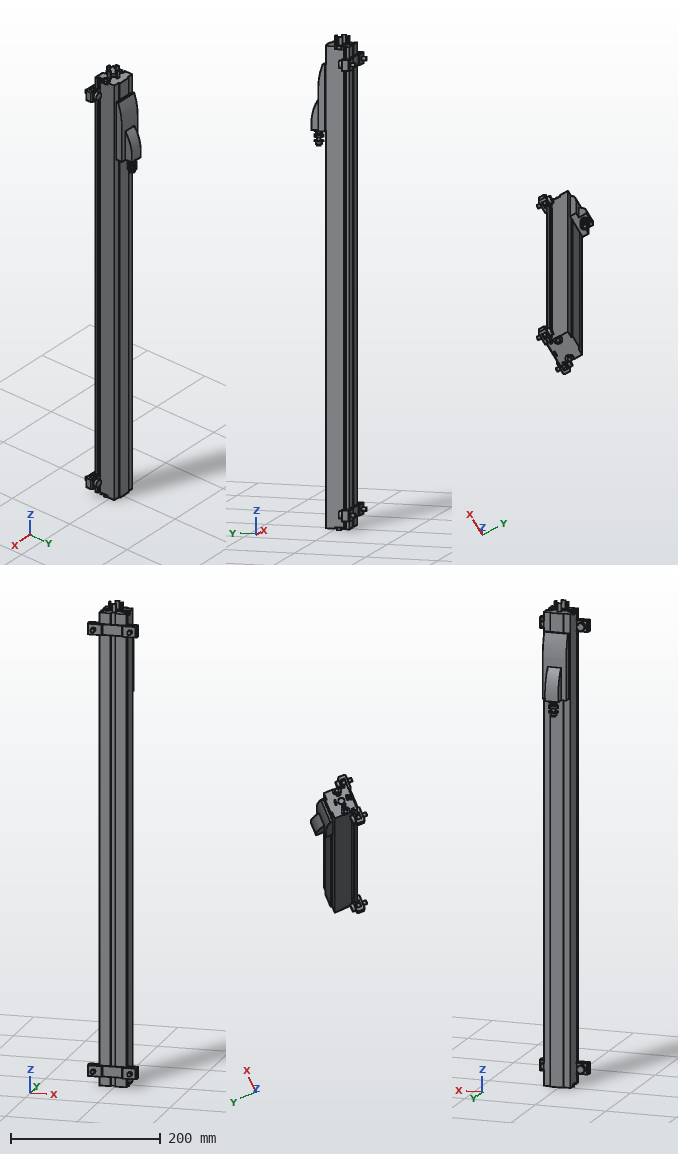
import cadquery as cq

TOTAL_LENGTH = 668.5
TOTAL_DEPTH = 66.0
FRONT_Y = -TOTAL_DEPTH / 2
BACK_Y = TOTAL_DEPTH / 2

RAIL_BOTTOM = 2.0
RAIL_TOP = 657.0
RAIL_HALF_WIDTH = 19.0
RAIL_FRONT_Y = -23.0
RAIL_BACK_Y = 10.0
RIDGE_BACK_Y = 12.0
RIDGE_HALF_WIDTH = 9.5
SIDE_GROOVE_BACK_Y = -15.0
SIDE_GROOVE_FLANK_Y = -16.0
SIDE_GROOVE_FRONT_Y = -19.0
SIDE_GROOVE_HALF_WIDTH = 15.5
FRONT_GROOVE_HALF_WIDTH = 3.5
FRONT_GROOVE_DEPTH = 3.5

PLUG_Y = -7.5
END_SCREW_X = 15.5
END_SCREW_DIAMETER = 5.5
SCREW_RECESS_DIAMETER = 11.5
TOP_RECESS_DEPTH = 4.0
BOTTOM_RECESS_DEPTH = 2.0
SOCKET_DIAMETER = 9.0
SOCKET_DEPTH = 4.0
TAB_OUTER_RADIUS = 9.5
TAB_THICKNESS = 1.7
TAB_WIDTH = 5.5
TAB_COUNT = 4

CLAMP_CENTRE_HEIGHTS = (23.0, 634.5)
CLAMP_HEIGHT = 15.0
CLAMP_HALF_WIDTH = 34.0
CLAMP_BACK_Y = SIDE_GROOVE_FLANK_Y
CLAMP_FOOT_Y = -27.5
CLAMP_CHAMFER = 1.7
STRAP_FRONT_Y = -25.5
STRAP_HALF_WIDTH = 13.5
STRAP_SLOPE_WIDTH = 1.7
CAVITY_OUTER_X = 29.5
CAVITY_FRONT_Y = -24.0
CAVITY_INNER_X = 21.0
CLAMP_SCREW_X = 25.5
CLAMP_SCREW_DIAMETER = 5.5
CLAMP_HEAD_DIAMETER = 11.0
CLAMP_HEAD_BACK_Y = -11.5

MARKER_BOTTOM = 540.0
BASE_HALF_WIDTH = 17.0
BASE_BACK_Y = 21.5
BASE_TIP_Y = 15.5
BASE_BEND_HEIGHT = 598.0
BASE_TIP_HEIGHT = 631.0
HUMP_HALF_WIDTH = 9.5
HUMP_BEND_HEIGHT = 549.5
HUMP_TIP_HEIGHT = 585.0

STUD_Y = 25.5
STUD_ROD_RADIUS = 5.0 / 2
STUD_DISC_RADIUS = 13.0 / 2
STUD_HUB_RADIUS = 9.0 / 2
STUD_TIP_RADIUS = 5.5 / 2
FLANGE_BOTTOM = 538.0
COLLAR_TOP = 535.0
COLLAR_SHOULDER = 533.0
COLLAR_BOTTOM = 530.0
DISC_TOP = 525.0
DISC_BOTTOM = 524.0
HUB_BOTTOM = 520.0
STUD_BOTTOM = 518.0


def box(x_range, y_range, z_range):
    """A box between the given limits."""
    (x0, x1), (y0, y1), (z0, z1) = x_range, y_range, z_range
    return cq.Workplane("XY", origin=(x0, y0, z0)).box(x1 - x0, y1 - y0, z1 - z0, centered=False)


def upright_cylinder(x, y, diameter, bottom, top):
    """A cylinder along Z between the given heights."""
    return cq.Workplane("XY", origin=(x, y, bottom)).circle(diameter / 2).extrude(top - bottom)


def make_profile():
    """Extruded rail: back ridge, a groove with one sloping flank in each side, and a groove down the front."""
    groove_bottom_y = RAIL_FRONT_Y + FRONT_GROOVE_DEPTH
    half_outline = [
        (0, RIDGE_BACK_Y),
        (RIDGE_HALF_WIDTH, RIDGE_BACK_Y),
        (RIDGE_HALF_WIDTH, RAIL_BACK_Y),
        (RAIL_HALF_WIDTH, RAIL_BACK_Y),
        (RAIL_HALF_WIDTH, SIDE_GROOVE_BACK_Y),
        (SIDE_GROOVE_HALF_WIDTH, SIDE_GROOVE_FLANK_Y),
        (SIDE_GROOVE_HALF_WIDTH, SIDE_GROOVE_FRONT_Y),
        (RAIL_HALF_WIDTH, SIDE_GROOVE_FRONT_Y),
        (RAIL_HALF_WIDTH, RAIL_FRONT_Y),
        (FRONT_GROOVE_HALF_WIDTH, RAIL_FRONT_Y),
        (FRONT_GROOVE_HALF_WIDTH, groove_bottom_y),
        (0, groove_bottom_y),
    ]
    outline = cq.Workplane("XY", origin=(0, 0, RAIL_BOTTOM)).polyline(half_outline).mirrorY()
    return outline.extrude(RAIL_TOP - RAIL_BOTTOM)


def add_end_screws(rail):
    """A screw near each side at both ends, in a recess that breaks through the side wall."""
    top_recess_floor = RAIL_TOP - TOP_RECESS_DEPTH
    bottom_recess_floor = RAIL_BOTTOM + BOTTOM_RECESS_DEPTH
    for x in (-END_SCREW_X, END_SCREW_X):
        rail = rail.cut(upright_cylinder(x, PLUG_Y, SCREW_RECESS_DIAMETER, top_recess_floor, RAIL_TOP))
        rail = rail.cut(upright_cylinder(x, PLUG_Y, SCREW_RECESS_DIAMETER, RAIL_BOTTOM, bottom_recess_floor))
        rail = rail.union(upright_cylinder(x, PLUG_Y, END_SCREW_DIAMETER, top_recess_floor, RAIL_TOP))
        rail = rail.union(upright_cylinder(x, PLUG_Y, END_SCREW_DIAMETER, 0, bottom_recess_floor))
    return rail


def add_plug(rail):
    """A round socket in the top end, with upright tabs around it."""
    rail = rail.cut(upright_cylinder(0, PLUG_Y, SOCKET_DIAMETER, RAIL_TOP - SOCKET_DEPTH, RAIL_TOP))
    tab = box(
        (TAB_OUTER_RADIUS - TAB_THICKNESS, TAB_OUTER_RADIUS),
        (-TAB_WIDTH / 2, TAB_WIDTH / 2),
        (RAIL_TOP, TOTAL_LENGTH),
    )
    for index in range(TAB_COUNT):
        turned_tab = tab.rotate((0, 0, 0), (0, 0, 1), index * 360 / TAB_COUNT)
        rail = rail.union(turned_tab.translate((0, PLUG_Y, 0)))
    return rail


def make_clamp(centre_height):
    """A strap across the rail front; each foot hooks into a side groove and carries a screw."""
    bottom = centre_height - CLAMP_HEIGHT / 2
    half_outline = [
        (0, STRAP_FRONT_Y),
        (STRAP_HALF_WIDTH, STRAP_FRONT_Y),
        (STRAP_HALF_WIDTH + STRAP_SLOPE_WIDTH, CLAMP_FOOT_Y),
        (CLAMP_HALF_WIDTH - CLAMP_CHAMFER, CLAMP_FOOT_Y),
        (CLAMP_HALF_WIDTH, CLAMP_FOOT_Y + CLAMP_CHAMFER),
        (CLAMP_HALF_WIDTH, CLAMP_BACK_Y - CLAMP_CHAMFER),
        (CLAMP_HALF_WIDTH - CLAMP_CHAMFER, CLAMP_BACK_Y),
        (SIDE_GROOVE_HALF_WIDTH, CLAMP_BACK_Y),
        (SIDE_GROOVE_HALF_WIDTH, SIDE_GROOVE_FRONT_Y),
        (CAVITY_OUTER_X, SIDE_GROOVE_FRONT_Y),
        (CAVITY_OUTER_X, CAVITY_FRONT_Y),
        (CAVITY_INNER_X, CAVITY_FRONT_Y),
        (CAVITY_INNER_X, RAIL_FRONT_Y),
        (0, RAIL_FRONT_Y),
    ]
    outline = cq.Workplane("XY", origin=(0, 0, bottom)).polyline(half_outline).mirrorY()
    clamp = outline.extrude(CLAMP_HEIGHT)
    for x in (-CLAMP_SCREW_X, CLAMP_SCREW_X):
        screw_end = cq.Workplane("XZ", origin=(x, FRONT_Y, centre_height))
        head_seat = cq.Workplane("XZ", origin=(x, CLAMP_BACK_Y, centre_height))
        shank = screw_end.circle(CLAMP_SCREW_DIAMETER / 2).extrude(FRONT_Y - CLAMP_BACK_Y)
        head = head_seat.circle(CLAMP_HEAD_DIAMETER / 2).extrude(CLAMP_BACK_Y - CLAMP_HEAD_BACK_Y)
        clamp = clamp.union(shank).union(head)
    return clamp


def make_rail():
    """The complete fixed body."""
    rail = add_plug(add_end_screws(make_profile()))
    for centre_height in CLAMP_CENTRE_HEIGHTS:
        rail = rail.union(make_clamp(centre_height))
    return rail


def make_bent_block(half_width, back_y, bend_height, tip_y, tip_height):
    """A block on the rail ridge whose upright back, above a bend, leans toward the rail in a tangent arc."""
    side = (
        cq.Workplane("YZ", origin=(-half_width, 0, 0))
        .moveTo(RIDGE_BACK_Y, MARKER_BOTTOM)
        .lineTo(back_y, MARKER_BOTTOM)
        .lineTo(back_y, bend_height)
        .tangentArcPoint((tip_y, tip_height), relative=False)
        .lineTo(RIDGE_BACK_Y, tip_height)
        .close()
    )
    return side.extrude(2 * half_width)


def make_stud():
    """Turned ball-joint stud hanging from the marker."""
    half_section = [
        (0, MARKER_BOTTOM),
        (STUD_DISC_RADIUS, MARKER_BOTTOM),
        (STUD_DISC_RADIUS, FLANGE_BOTTOM),
        (STUD_ROD_RADIUS, FLANGE_BOTTOM),
        (STUD_ROD_RADIUS, COLLAR_TOP),
        (STUD_HUB_RADIUS, COLLAR_TOP),
        (STUD_HUB_RADIUS, COLLAR_SHOULDER),
        (STUD_DISC_RADIUS, COLLAR_SHOULDER),
        (STUD_DISC_RADIUS, COLLAR_BOTTOM),
        (STUD_ROD_RADIUS, COLLAR_BOTTOM),
        (STUD_ROD_RADIUS, DISC_TOP),
        (STUD_DISC_RADIUS, DISC_TOP),
        (STUD_DISC_RADIUS, DISC_BOTTOM),
        (STUD_HUB_RADIUS, DISC_BOTTOM),
        (STUD_HUB_RADIUS, HUB_BOTTOM),
        (STUD_TIP_RADIUS, HUB_BOTTOM),
        (STUD_TIP_RADIUS, STUD_BOTTOM),
        (0, STUD_BOTTOM),
    ]
    section = cq.Workplane("XZ", origin=(0, STUD_Y, 0)).polyline(half_section).close()
    return section.revolve(360, (0, 0, 0), (0, 1, 0))


def make_marker():
    """Wide base on the rail ridge, a narrow hump behind it and the stud below."""
    base = make_bent_block(BASE_HALF_WIDTH, BASE_BACK_Y, BASE_BEND_HEIGHT, BASE_TIP_Y, BASE_TIP_HEIGHT)
    hump = make_bent_block(HUMP_HALF_WIDTH, BACK_Y, HUMP_BEND_HEIGHT, BASE_BACK_Y, HUMP_TIP_HEIGHT)
    return base.union(hump).union(make_stud())


rail = make_rail()
marker = make_marker()
result = cq.Compound.makeCompound([rail.val(), marker.val()])